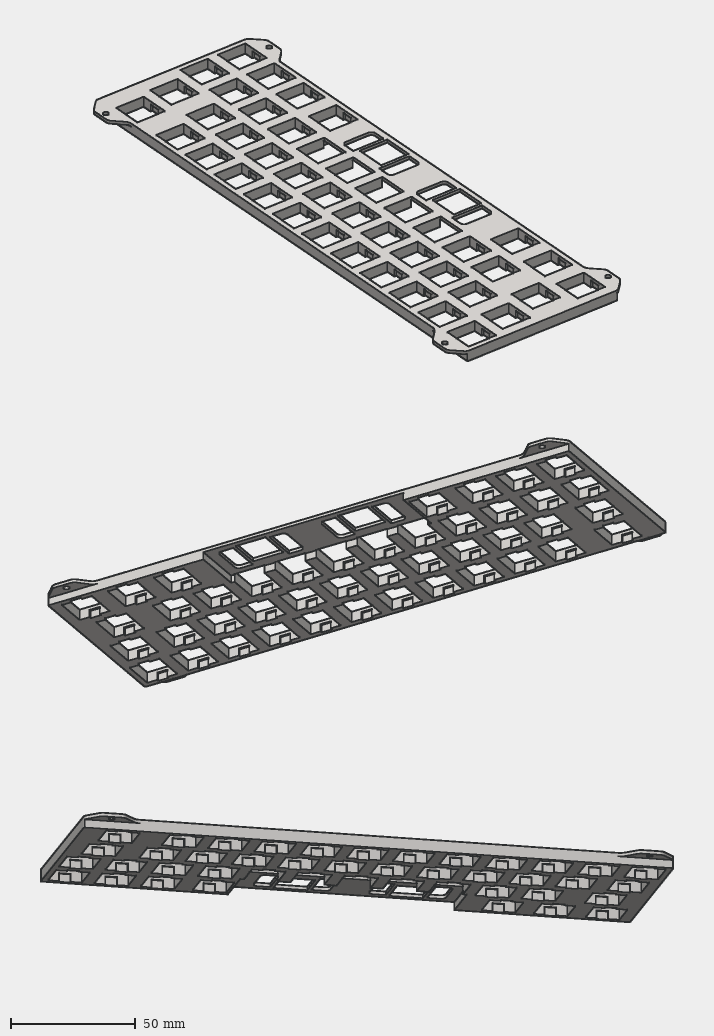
import cadquery as cq
length = 243.0
units_long = 12.75
units_deep = 4
pitch = length / units_long
body_depth = units_deep * pitch

total_depth = 88.2
thickness = 4.9
skin = 1.5

tab_reach = (total_depth - body_depth) / 2
tab_setback = 5.8
tab_edge = 9.5
tab_center = tab_setback + tab_edge / 2
tab_corner_radius = 3.0
tab_root_radius = 4.0
screw_diameter = 2.5
screw_inset = 2.7

web = 5.0
cutout = pitch - web
clip_width = 4.9
clip_depth = 1.0

slot_width = 7.3
slot_depth = 15.3
slot_spacing = 12.1
slot_drop = 1.5
slot_corner_radius = 2.0

pocket_first_unit = 4.05
pocket_last_unit = 8.95
pocket_overlap = 0.2

key_rows = [
    [1, 1, 1, 1.25, 2.25, 2.75, 1.25, 1, 1.25],
    [1] * 11 + [1.75],
    [1.5] + [1] * 10 + [1.25],
    [1.75] + [1] * 11,
]
stabilized_width = 2

left = -length / 2
back = body_depth / 2


def key_y(row):
    return back - (row + 0.5) * pitch


def key_centers(row):
    """Return (x, y, width in key units) for each key of a row."""
    keys = []
    start = 0
    for width in key_rows[row]:
        keys.append((left + (start + width / 2) * pitch, key_y(row), width))
        start += width
    return keys


def block(x_size, y_size, height, centers):
    """Upright blocks standing on the underside of the plate."""
    return cq.Workplane("XY").pushPoints(centers).rect(x_size, y_size).extrude(height)


def slab(depth, bottom, height):
    return cq.Workplane("XY").workplane(offset=bottom).rect(length, depth).extrude(height)


def plate():
    """Rounded outline with a tab at each corner; below the skin the tabs are cut off flush."""
    edge = total_depth / 2
    side_end = (left, edge - tab_setback)
    tip_outer = (left + tab_setback, edge)
    tip_inner = (tip_outer[0] + tab_edge, edge)
    root = (tip_inner[0] + tab_reach, back)
    quarter = [side_end, tip_outer, tip_inner, root]
    back_side = quarter + [(-x, y) for x, y in reversed(quarter)]
    outline = back_side + [(x, -y) for x, y in reversed(back_side)]
    sharp = cq.Workplane("XY").polyline(outline).close().extrude(thickness)

    for x, y in outline:
        radius = tab_root_radius if abs(x) == abs(root[0]) else tab_corner_radius
        corner = cq.selectors.NearestToPointSelector((x, y, thickness / 2))
        sharp = sharp.edges("|Z").edges(corner).fillet(radius)

    upper = sharp.intersect(slab(total_depth, thickness - skin, skin))
    lower = sharp.intersect(slab(body_depth, 0, thickness - skin))
    return lower.union(upper)


def screw_holes():
    x = length / 2 - tab_center
    y = total_depth / 2 - screw_inset
    corners = [(i * x, j * y) for i in (-1, 1) for j in (-1, 1)]
    return cq.Workplane("XY").pushPoints(corners).circle(screw_diameter / 2).extrude(thickness)


def switch_cutouts():
    centers = [(x, y) for row in range(units_deep) for x, y, width in key_centers(row)]
    openings = block(cutout, cutout, thickness, centers)
    clips = block(clip_width, cutout + 2 * clip_depth, thickness - skin, centers)
    return openings.union(clips)


def stabilizer_slots():
    slots = cq.Workplane("XY")
    for row in range(units_deep):
        for x, y, width in key_centers(row):
            if width < stabilized_width:
                continue
            for side, outer in ((-1, "<X"), (1, ">X")):
                slot = block(slot_width, slot_depth, thickness, [(x + side * slot_spacing, y - slot_drop)])
                slots = slots.add(slot.faces(outer).edges("|Z").fillet(slot_corner_radius))
    return slots.combine()


def stabilizer_pocket():
    """Recess in the underside that opens through the back edge and leaves only the skin."""
    x_size = (pocket_last_unit - pocket_first_unit) * pitch
    x_center = left + (pocket_first_unit + pocket_last_unit) / 2 * pitch
    y_min = key_y(1) + cutout / 2 - pocket_overlap
    return block(x_size, back - y_min, thickness - skin, [(x_center, (y_min + back) / 2)])


result = plate()
for tool in (screw_holes(), switch_cutouts(), stabilizer_slots(), stabilizer_pocket()):
    result = result.cut(tool)